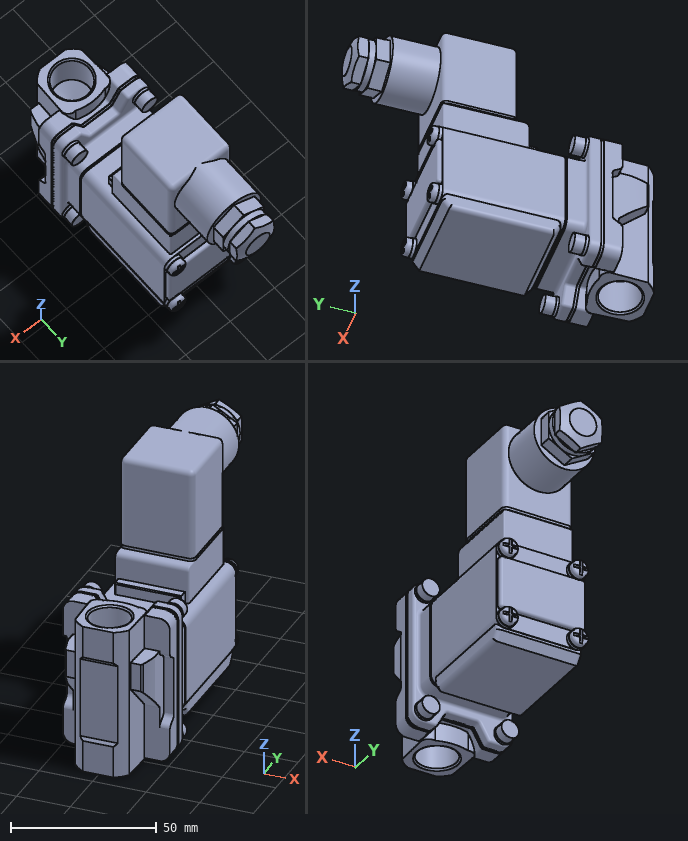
import cadquery as cq
import math


total_length = 109.9
total_height = 95.3

block_height = 56.8
middle_z = block_height / 2
block_rear_half_width = 10.5
block_front_half_width = 10.1
block_rear_y = 21.4
block_shoulder_y = 20.3
block_shoulder_half_width = 6.6
block_rear_corner_mid_x = 9.5
block_rear_corner_mid_y = 19.6
block_corner_y = 17.8
block_face_half_width = 5.7
block_edge_mid_x = 8.1
block_edge_mid_y = 1.6
block_edge_rear_y = 3.7
face_recess_depth = 0.82
face_recess_height = 32.8
face_recess_ramp = 1.3

port_diameter = 15.3
port_depth = 15.4
port_axis_y = 10.4
port_chamfer = 0.7
drill_point_angle = 118.0

flange_width = 40.0
flange_height = 56.0
flange_front_y = 16.4
seam_front_y = 23.1
seam_rear_y = 24.1
seam_inset = 0.38
flange_rear_y = 28.5
flange_corner_radius = 4.0
flange_edge_radius = 1.1
notch_floor_half_width = 6.4
notch_depth = 6.8
notch_edge_half_width = 10.3
notch_edge_radius = 1.2

lug_half_width = 16.2
lug_front_y = 4.8
lug_top_z = 43.5
lug_edge_z = 33.1
lug_foot_z = 21.5
lug_foot_radius = 1.1
lug_foot_height = 2.2
lug_curve_y = 12.3
lug_curve_mid_half_width = 15.5
lug_curve_mid_y = 9.0
lug_tip_half_width = 14.5
lug_tip_y = 5.6
lug_face_half_width = 13.9
pocket_rear_y = 20.0
pocket_mouth_half_height = 14.6
pocket_floor_half_height = 10.7
pocket_bend_height = 1.5
pocket_bend_depth = 1.1
pocket_bend_mid_height = 1.0
pocket_bend_mid_depth = 0.4

flange_screw_radius = 3.5
flange_washer_radius = 3.6
flange_washer_thickness = 1.0
flange_screw_x = 15.8
flange_screw_z = 23.7
flange_screw_rear_y = 33.4
neck_foot_radius = 1.2

coil_width = 35.3
coil_height = 34.8
coil_corner_radius = 3.5
coil_front_y = 36.1
coil_rear_y = 80.9
joint_chamfer = 0.3
coil_top_z = middle_z + coil_height / 2
coil_bottom_z = middle_z - coil_height / 2

plate_width = 34.1
plate_height = 20.7
plate_thickness = 2.0
plate_edge_radius = 1.0

coil_screw_radius = 3.4
washer_radius = 3.57
washer_thickness = 1.3
coil_screw_x = coil_width / 2 - washer_radius
coil_screw_z = coil_height / 2 - washer_radius
screw_head_height = 3.7
screw_head_rounding = 1.1
screw_dome_height = 0.38
screw_slot_width = 1.0
screw_slot_depth = 0.5

bulge_width = 34.1
bulge_front_y = 37.4
bulge_rear_y = 80.7
bulge_bottom_z = 6.5
bulge_slope_width = 2.5
bulge_slope_height = 3.4
bulge_edge_radius = 1.8

terminal_width = 27.7
terminal_front_y = 48.0
terminal_rear_y = 79.6
terminal_top_z = 60.0
terminal_front_radius = 1.9
terminal_edge_radius = 0.5
ledge_width = 24.8
ledge_front_y = 44.4
ledge_height = 4.4
ledge_chamfer = 0.4

gasket_thickness = 1.1
plug_bottom_z = terminal_top_z + gasket_thickness
plug_width = 27.7
plug_front_y = 52.2
plug_rear_y = 79.8
plug_edge_radius = 2.1

barrel_radius = 12.1
gland_z = total_height - barrel_radius
barrel_rear_y = 97.2
gland_hex_flats = 18.5
gland_hex_rear_y = 102.3
neck_radius = gland_hex_flats / 2
neck_rear_y = 104.9
nut_flats = 16.8
nut_cone_length = 1.6
nut_end_radius = 5.4


def box_between(width, y_start, y_end, z_start, z_end):
    """Box centred on x = 0 between two Y and two Z positions."""
    return (
        cq.Workplane("XY")
        .box(width, y_end - y_start, z_end - z_start, centered=(True, False, False))
        .translate((0, y_start, z_start))
    )


def cylinder_along_y(x, z, radius, y_start, y_end):
    """Cylinder parallel to Y."""
    return cq.Workplane("XZ", origin=(x, y_start, z)).circle(radius).extrude(y_start - y_end)


def hexagon_along_y(z, flats, y_start, y_end):
    """Hexagonal prism parallel to Y with two corners pointing up and down."""
    corner_diameter = flats / math.cos(math.pi / 6)
    return (
        cq.Workplane("XZ", origin=(0, y_start, z))
        .transformed(rotate=(0, 0, 90))
        .polygon(6, corner_diameter)
        .extrude(y_start - y_end)
    )


def rounded_bar(width, height, corner_radius, y_start, y_end):
    """Bar along Y, centred on the port block height, with rounded long edges."""
    bar = box_between(width, y_start, y_end, middle_z - height / 2, middle_z + height / 2)
    return bar.edges("|Y").fillet(corner_radius)


def four_places(x, z):
    """Positions of the four screws around the valve axis."""
    return [(side * x, middle_z + level * z) for side in (-1, 1) for level in (-1, 1)]


def make_port():
    """Cutter for the upper port: bore, drill point and entry chamfer."""
    radius = port_diameter / 2
    point_length = radius / math.tan(math.radians(drill_point_angle / 2))
    bottom_z = block_height - port_depth
    return (
        cq.Workplane("XZ", origin=(0, port_axis_y, 0))
        .moveTo(0, block_height)
        .lineTo(radius + port_chamfer, block_height)
        .lineTo(radius, block_height - port_chamfer)
        .lineTo(radius, bottom_z)
        .lineTo(0, bottom_z - point_length)
        .close()
        .revolve(360, (0, 0, 0), (0, 1, 0))
    )


def make_face_recess():
    """Cutter for the shallow recess with sloping ends across the block's front face."""
    half_mouth = face_recess_height / 2
    half_floor = half_mouth - face_recess_ramp
    return (
        cq.Workplane("YZ")
        .polyline([
            (0, middle_z - half_mouth),
            (face_recess_depth, middle_z - half_floor),
            (face_recess_depth, middle_z + half_floor),
            (0, middle_z + half_mouth),
        ])
        .close()
        .extrude(block_rear_half_width, both=True)
    )


def make_port_block():
    """Upright block with an arched rear and broadly curved front corners."""
    rear_corner = (block_rear_corner_mid_x, block_rear_corner_mid_y)
    return (
        cq.Workplane("XY")
        .moveTo(-block_face_half_width, 0)
        .lineTo(block_face_half_width, 0)
        .threePointArc((block_edge_mid_x, block_edge_mid_y), (block_front_half_width, block_edge_rear_y))
        .lineTo(block_rear_half_width, block_corner_y)
        .threePointArc(rear_corner, (block_shoulder_half_width, block_shoulder_y))
        .threePointArc((0, block_rear_y), (-block_shoulder_half_width, block_shoulder_y))
        .threePointArc((-rear_corner[0], rear_corner[1]), (-block_rear_half_width, block_corner_y))
        .lineTo(-block_front_half_width, block_edge_rear_y)
        .threePointArc((-block_edge_mid_x, block_edge_mid_y), (-block_face_half_width, 0))
        .close()
        .extrude(block_height)
    )


def make_lugs():
    """Pair of lugs beside the port block, tapered in plan and cut off diagonally below."""
    plan = (
        cq.Workplane("XY")
        .moveTo(-lug_face_half_width, lug_front_y)
        .lineTo(lug_face_half_width, lug_front_y)
        .lineTo(lug_tip_half_width, lug_tip_y)
        .threePointArc((lug_curve_mid_half_width, lug_curve_mid_y), (lug_half_width, lug_curve_y))
        .lineTo(lug_half_width, pocket_rear_y)
        .lineTo(-lug_half_width, pocket_rear_y)
        .lineTo(-lug_half_width, lug_curve_y)
        .threePointArc((-lug_curve_mid_half_width, lug_curve_mid_y), (-lug_tip_half_width, lug_tip_y))
        .close()
        .extrude(lug_top_z)
    )
    side = (
        cq.Workplane("YZ")
        .polyline([
            (lug_front_y, lug_top_z),
            (lug_front_y, lug_edge_z),
            (flange_front_y, lug_foot_z),
            (flange_front_y, lug_foot_z - lug_foot_height),
            (pocket_rear_y, lug_foot_z - lug_foot_height),
            (pocket_rear_y, lug_top_z),
        ])
        .close()
        .extrude(lug_half_width, both=True)
    )
    root = cq.selectors.NearestToPointSelector((0, flange_front_y, lug_foot_z))
    return plan.intersect(side.edges(root).fillet(lug_foot_radius))


def make_side_pocket(side):
    """Cutter for the pocket with S-shaped ends in one side of the flange."""
    mouth = pocket_mouth_half_height
    floor = pocket_floor_half_height
    rim_end = (flange_front_y + pocket_bend_depth, mouth - pocket_bend_height)
    rim_mid = (flange_front_y + pocket_bend_mid_depth, mouth - pocket_bend_mid_height)
    root_start = (pocket_rear_y - pocket_bend_depth, floor + pocket_bend_height)
    root_mid = (pocket_rear_y - pocket_bend_mid_depth, floor + pocket_bend_mid_height)
    return (
        cq.Workplane("YZ", origin=(side * lug_half_width, 0, middle_z))
        .moveTo(flange_front_y, -mouth)
        .threePointArc((rim_mid[0], -rim_mid[1]), (rim_end[0], -rim_end[1]))
        .lineTo(root_start[0], -root_start[1])
        .threePointArc((root_mid[0], -root_mid[1]), (pocket_rear_y, -floor))
        .lineTo(pocket_rear_y, floor)
        .threePointArc(root_mid, root_start)
        .lineTo(*rim_end)
        .threePointArc(rim_mid, (flange_front_y, mouth))
        .close()
        .extrude(side * flange_width)
    )


def make_end_notch(level):
    """Cutter for the notch with sloping walls in the upper (1) or lower (-1) flange edge."""
    edge = level * flange_height / 2
    floor = edge - level * notch_depth
    cutter = (
        cq.Workplane("XZ", origin=(0, flange_front_y, middle_z))
        .polyline([
            (-notch_edge_half_width, edge),
            (-notch_floor_half_width, floor),
            (notch_floor_half_width, floor),
            (notch_edge_half_width, edge),
        ])
        .close()
        .extrude(flange_front_y - flange_rear_y)
    )
    floor_corners = "|Y and <Z" if level > 0 else "|Y and >Z"
    return cutter.edges(floor_corners).fillet(notch_edge_radius)


def make_flange():
    """Flange with notched ends, a narrow seam around it and side pockets."""
    flange = rounded_bar(
        flange_width, flange_height, flange_corner_radius, flange_front_y, flange_rear_y
    )
    for level in (-1, 1):
        flange = flange.cut(make_end_notch(level))
    half_span = notch_edge_half_width + notch_edge_radius
    notch_span = cq.selectors.BoxSelector(
        (-half_span, 0, 0), (half_span, total_length, block_height)
    )
    rims = flange.edges("|Y").edges(notch_span).edges(">Z or <Z")
    flange = rims.fillet(notch_edge_radius)

    outline = flange.faces("<Y").wires().val()
    core_outline = outline.offset2D(-seam_inset)[0]
    seam_length = seam_rear_y - seam_front_y
    core = cq.Solid.extrudeLinear(core_outline, [], cq.Vector(0, seam_length, 0))
    core = cq.Workplane(core).translate((0, seam_front_y - flange_front_y, 0))
    seam = box_between(2 * flange_width, seam_front_y, seam_rear_y, -block_height, 2 * block_height)

    flange = flange.faces(">Y").edges().fillet(flange_edge_radius).cut(seam.cut(core))
    for side in (-1, 1):
        flange = flange.cut(make_side_pocket(side))
    return flange


def add_neck(flange):
    """Add the cover neck between flange and coil, with a fillet around its foot."""
    neck = rounded_bar(coil_width, coil_height, coil_corner_radius, flange_rear_y, coil_front_y)
    neck = neck.faces(">Y").edges().chamfer(joint_chamfer)
    half_width = coil_width / 2
    margin = 0.1
    foot = cq.selectors.BoxSelector(
        (-half_width - margin, flange_rear_y - margin, coil_bottom_z - margin),
        (half_width + margin, flange_rear_y + margin, coil_top_z + margin),
        boundingbox=True,
    )
    return flange.union(neck).edges(foot).fillet(neck_foot_radius)


def make_flange_screw(x, z):
    """Round screw head with its washer on the rear of the flange."""
    washer_end = flange_rear_y + flange_washer_thickness
    washer = cylinder_along_y(x, z, flange_washer_radius, seam_rear_y, washer_end)
    head = cylinder_along_y(x, z, flange_screw_radius, washer_end, flange_screw_rear_y)
    return washer.union(head)


def make_valve():
    """Valve body: port block, lugs, flange, neck and flange screws."""
    valve = add_neck(make_flange()).union(make_port_block()).union(make_lugs())
    upper_port = make_port()
    lower_port = upper_port.mirror("XY", (0, 0, middle_z))
    valve = valve.cut(upper_port).cut(lower_port).cut(make_face_recess())
    for x, z in four_places(flange_screw_x, flange_screw_z):
        valve = valve.union(make_flange_screw(x, z))
    return valve


def make_coil_screw(x, z):
    """Washer and domed head with a cross slot on the rear of the coil."""
    washer = cylinder_along_y(x, z, washer_radius, coil_rear_y, coil_rear_y + washer_thickness)
    head_end = coil_rear_y + screw_head_height
    dome_radius = coil_screw_radius - screw_head_rounding
    rounding_start = head_end - screw_head_rounding
    rounding_mid = screw_head_rounding * math.sqrt(0.5)
    head = (
        cq.Workplane("XY")
        .moveTo(0, coil_rear_y)
        .lineTo(coil_screw_radius, coil_rear_y)
        .lineTo(coil_screw_radius, rounding_start)
        .threePointArc((dome_radius + rounding_mid, rounding_start + rounding_mid), (dome_radius, head_end))
        .lineTo(0, head_end + screw_dome_height)
        .close()
        .revolve(360, (0, 0, 0), (0, 1, 0))
        .translate((x, 0, z))
    )
    slot_y = head_end + screw_dome_height
    slot_length = 2 * coil_screw_radius
    for width, height in ((slot_length, screw_slot_width), (screw_slot_width, slot_length)):
        slot = cq.Workplane("XY").box(width, 2 * screw_slot_depth, height)
        head = head.cut(slot.translate((x, slot_y, z)))
    return washer.union(head)


def make_bulge():
    """Yoke bulge under the coil with sloping ends and rounded edges."""
    slope_top_z = bulge_bottom_z + bulge_slope_height
    root_z = middle_z - coil_height / 4
    bulge = (
        cq.Workplane("YZ")
        .polyline([
            (bulge_front_y, root_z),
            (bulge_front_y, slope_top_z),
            (bulge_front_y + bulge_slope_width, bulge_bottom_z),
            (bulge_rear_y - bulge_slope_width, bulge_bottom_z),
            (bulge_rear_y, slope_top_z),
            (bulge_rear_y, root_z),
        ])
        .close()
        .extrude(bulge_width / 2, both=True)
    )
    return bulge.faces("<X or >X").edges("not(>Z)").fillet(bulge_edge_radius)


def make_terminal_block():
    """Terminal block on top of the coil with a low ledge in front and a gasket pad on top."""
    block = box_between(
        terminal_width, terminal_front_y, terminal_rear_y, coil_top_z, terminal_top_z
    )
    block = block.edges(">Z and <Y").fillet(terminal_front_radius)
    block = block.faces("<X or >X").edges("not(<Z)").fillet(terminal_edge_radius)
    ledge = box_between(
        ledge_width, ledge_front_y, terminal_front_y, coil_top_z, coil_top_z + ledge_height
    )
    ledge = ledge.edges("(<Y and >Z) or (<Y and |Z)").chamfer(ledge_chamfer)
    gasket = box_between(plug_width, plug_front_y, plug_rear_y, terminal_top_z, plug_bottom_z)
    gasket = gasket.edges("|Z").fillet(plug_edge_radius)
    return block.union(ledge).union(gasket)


def make_coil():
    """Coil with rear plate, screws, yoke bulge and terminal block."""
    coil = rounded_bar(coil_width, coil_height, coil_corner_radius, coil_front_y, coil_rear_y)
    coil = coil.faces("<Y").edges().chamfer(joint_chamfer)
    plate = rounded_bar(
        plate_width, plate_height, plate_edge_radius, coil_rear_y, coil_rear_y + plate_thickness
    )
    plate = plate.faces(">Y").edges().fillet(plate_edge_radius)
    coil = coil.union(plate).union(make_bulge()).union(make_terminal_block())
    for x, z in four_places(coil_screw_x, coil_screw_z):
        coil = coil.union(make_coil_screw(x, z))
    return coil


def make_nut():
    """Hexagonal gland nut with a conical end."""
    nut = hexagon_along_y(gland_z, nut_flats, neck_rear_y, total_length)
    corner_radius = nut_flats / 2 / math.cos(math.pi / 6)
    cone_start = total_length - nut_cone_length
    envelope = (
        cq.Workplane("XY")
        .moveTo(0, neck_rear_y)
        .lineTo(corner_radius, neck_rear_y)
        .lineTo(corner_radius, cone_start)
        .lineTo(nut_end_radius, total_length)
        .lineTo(0, total_length)
        .close()
        .revolve(360, (0, 0, 0), (0, 1, 0))
        .translate((0, 0, gland_z))
    )
    return nut.intersect(envelope)


def make_plug():
    """Cable plug: rounded housing with barrel, hexagon, neck and gland nut."""
    housing = box_between(plug_width, plug_front_y, plug_rear_y, plug_bottom_z, total_height)
    housing = housing.edges("|Z or >Z").fillet(plug_edge_radius)
    barrel_front_y = plug_rear_y - plug_edge_radius
    barrel = cylinder_along_y(0, gland_z, barrel_radius, barrel_front_y, barrel_rear_y)
    hexagon = hexagon_along_y(gland_z, gland_hex_flats, barrel_rear_y, gland_hex_rear_y)
    neck = cylinder_along_y(0, gland_z, neck_radius, gland_hex_rear_y, neck_rear_y)
    return housing.union(barrel).union(hexagon).union(neck).union(make_nut())


valve = make_valve()
coil = make_coil()
plug = make_plug()

result = cq.Compound.makeCompound([valve.val(), coil.val(), plug.val()])